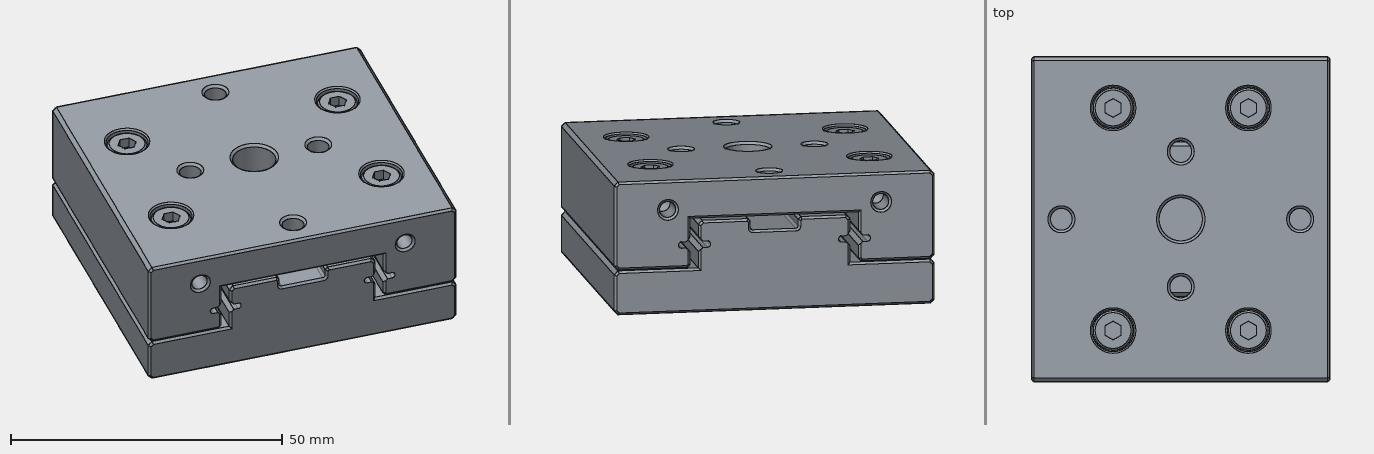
import cadquery as cq
import math

length_x = 55.0
width_y = 60.0
height_z = 25.0
long_edge_chamfer = 0.7
opening_chamfer = 0.5
end_chamfer = 0.4
selection_margin = 0.6

plinth_top = 8.3
rail_top = 17.2
rail_half_width = 14.2
slot_floor = 15.05
slot_half_width = 4.5
slot_fillet = 0.5

carriage_bottom = 8.45
cavity_roof = 17.7
cavity_half_width = 15.8

groove_z = 12.8
groove_y = (rail_half_width + cavity_half_width) / 2
vee_half_diagonal = 2.15
relief_width = 1.2
relief_length = 6.0

center_hole_diameter = 8.0
mount_hole_diameter = 4.0
hole_chamfer = 0.5
cut_overlap = 0.3
mount_hole_x = 22.0
mount_hole_y = 12.5

screw_x = 12.5
screw_y = 20.5
counterbore_diameter = 7.8
counterbore_chamfer = 0.3
counterbore_depth = 4.5
head_diameter = 7.3
head_recess = 0.5
head_height = counterbore_depth - head_recess
head_chamfer = 0.35
hex_across_flats = 3.0
hex_depth = 2.0

end_hole_diameter = 3.0
end_hole_mouth_diameter = 3.9
end_hole_depth = 6.0
end_hole_y = 20.0
end_hole_z = 19.5
drill_tip_angle = 118.0


def extrude_profile(points):
    """Extrude a YZ outline along the whole length, centred on X = 0."""
    return cq.Workplane("YZ").polyline(points).close().extrude(length_x / 2, both=True)


def lengthwise_edges(half_width, z_low, z_high):
    """Select the edges along X that lie within a width and height window."""
    window = cq.selectors.BoxSelector(
        (-selection_margin, -half_width - selection_margin, z_low - selection_margin),
        (selection_margin, half_width + selection_margin, z_high + selection_margin),
    )
    return cq.selectors.ParallelDirSelector(cq.Vector(1, 0, 0)) & window


def chamfer_ends(body):
    return body.faces("<X or >X").chamfer(end_chamfer)


def make_groove_cutters():
    """Make a square bar on edge with a thin round-ended relief, one for each rail gap."""
    centers = [(-groove_y, groove_z), (groove_y, groove_z)]
    vee_bars = (
        cq.Workplane("YZ")
        .pushPoints(centers)
        .polygon(4, 2 * vee_half_diagonal)
        .extrude(length_x / 2, both=True)
    )
    reliefs = (
        cq.Workplane("YZ")
        .pushPoints(centers)
        .slot2D(relief_length, relief_width)
        .extrude(length_x / 2, both=True)
    )
    return vee_bars.union(reliefs)


def make_base():
    body = extrude_profile([
        (-width_y / 2, 0),
        (width_y / 2, 0),
        (width_y / 2, plinth_top),
        (rail_half_width, plinth_top),
        (rail_half_width, rail_top),
        (slot_half_width, rail_top),
        (slot_half_width, slot_floor),
        (-slot_half_width, slot_floor),
        (-slot_half_width, rail_top),
        (-rail_half_width, rail_top),
        (-rail_half_width, plinth_top),
        (-width_y / 2, plinth_top),
    ])
    slot_corners = lengthwise_edges(slot_half_width, slot_floor, slot_floor)
    inside_corners = lengthwise_edges(rail_half_width, plinth_top, slot_floor)
    all_corners = lengthwise_edges(width_y / 2, 0, rail_top)
    slot_rims = lengthwise_edges(slot_half_width, rail_top, rail_top)
    body = body.edges(all_corners - inside_corners - slot_rims).chamfer(long_edge_chamfer)
    body = body.edges(slot_rims).chamfer(opening_chamfer)
    body = body.edges(slot_corners).fillet(slot_fillet)
    body = chamfer_ends(body)
    return body.cut(make_groove_cutters())


def make_roof_hole_cutter(x, y, diameter):
    """Make a chamfered hole from the top of the carriage down into the cavity."""
    radius = diameter / 2
    profile = [
        (0, cavity_roof - cut_overlap),
        (radius, cavity_roof - cut_overlap),
        (radius, height_z - hole_chamfer),
        (radius + hole_chamfer, height_z),
        (0, height_z),
    ]
    return cq.Workplane("XZ").polyline(profile).close().revolve().translate((x, y, 0))


def make_screw_cutter(x, y):
    """Make the counterbore space that is left around and above a hex socket cap screw."""
    bore_radius = counterbore_diameter / 2
    bore = [
        (0, -counterbore_depth),
        (bore_radius, -counterbore_depth),
        (bore_radius, -counterbore_chamfer),
        (bore_radius + counterbore_chamfer, 0),
        (0, 0),
    ]
    cutter = cq.Workplane("XZ").polyline(bore).close().revolve()
    head = (
        cq.Workplane("XY", origin=(0, 0, -counterbore_depth))
        .circle(head_diameter / 2)
        .extrude(head_height)
        .faces(">Z")
        .chamfer(head_chamfer)
    )
    hex_across_corners = hex_across_flats / math.cos(math.pi / 6)
    socket = (
        cq.Workplane("XY", origin=(0, 0, -head_recess))
        .transformed(rotate=(0, 0, 30))
        .polygon(6, hex_across_corners)
        .extrude(-hex_depth)
    )
    return cutter.cut(head.cut(socket)).translate((x, y, height_z))


def make_end_hole_cutter(y, side):
    """Make a drilled hole with a cone bottom and a chamfered mouth; side is -1 or 1 along X."""
    radius = end_hole_diameter / 2
    mouth_radius = end_hole_mouth_diameter / 2
    tip_length = radius / math.tan(math.radians(drill_tip_angle / 2))
    profile = [
        (0, 0),
        (0, mouth_radius),
        (mouth_radius - radius, radius),
        (end_hole_depth, radius),
        (end_hole_depth + tip_length, 0),
    ]
    inward = [(side * (length_x / 2 - depth), r) for depth, r in profile]
    drill = cq.Workplane("XZ").polyline(inward).close().revolve(360, (0, 0), (1, 0))
    return drill.translate((0, y, end_hole_z))


def make_carriage():
    body = extrude_profile([
        (-width_y / 2, carriage_bottom),
        (-cavity_half_width, carriage_bottom),
        (-cavity_half_width, cavity_roof),
        (cavity_half_width, cavity_roof),
        (cavity_half_width, carriage_bottom),
        (width_y / 2, carriage_bottom),
        (width_y / 2, height_z),
        (-width_y / 2, height_z),
    ])
    inside_corners = lengthwise_edges(cavity_half_width, cavity_roof, cavity_roof)
    all_corners = lengthwise_edges(width_y / 2, carriage_bottom, height_z)
    cavity_rims = lengthwise_edges(cavity_half_width, carriage_bottom, carriage_bottom)
    body = body.edges(all_corners - inside_corners - cavity_rims).chamfer(long_edge_chamfer)
    body = body.edges(cavity_rims).chamfer(opening_chamfer)
    body = chamfer_ends(body)
    body = body.cut(make_groove_cutters())
    body = body.cut(make_roof_hole_cutter(0, 0, center_hole_diameter))
    for side in (-1, 1):
        body = body.cut(make_roof_hole_cutter(side * mount_hole_x, 0, mount_hole_diameter))
        body = body.cut(make_roof_hole_cutter(0, side * mount_hole_y, mount_hole_diameter))
        for y_side in (-1, 1):
            body = body.cut(make_screw_cutter(side * screw_x, y_side * screw_y))
            body = body.cut(make_end_hole_cutter(y_side * end_hole_y, side))
    return body


base = make_base()
carriage = make_carriage()

result = cq.Compound.makeCompound([base.solids().val(), carriage.solids().val()])